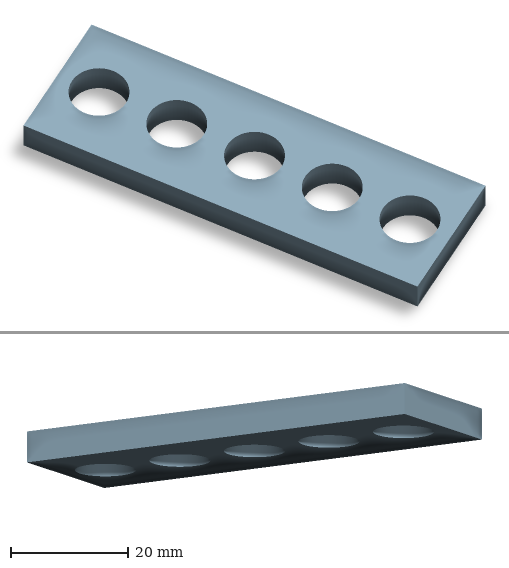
import cadquery as cq

length = 76.0
width = 25.0
thickness = 5.4

hole_diameter = 10.41
hole_count = 5
hole_pitch = 15.0


def make_plate():
    """Flat rectangular plate centred on the origin."""
    return cq.Workplane("XY").box(length, width, thickness)


def drill_hole_row(plate):
    """Evenly spaced through holes, centred on the plate."""
    return (
        plate.faces(">Z")
        .workplane()
        .rarray(hole_pitch, width, hole_count, 1)
        .hole(hole_diameter)
    )


result = drill_hole_row(make_plate())